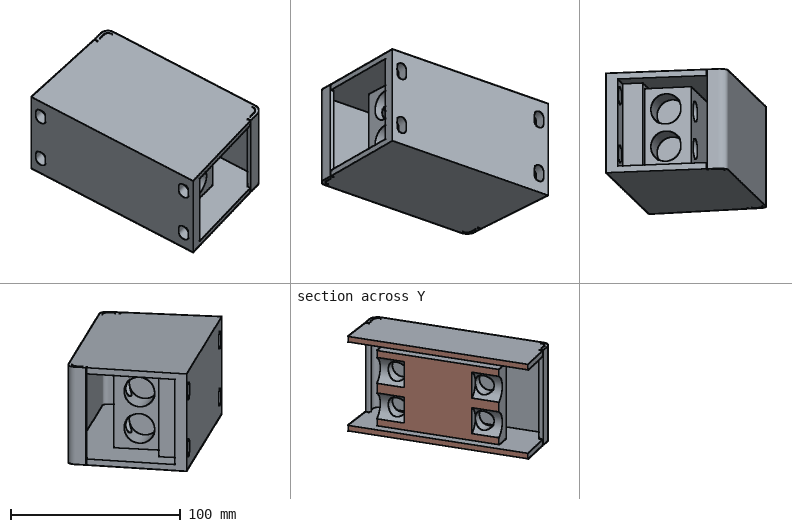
import cadquery as cq
import math

WIDTH = 118.0
DEPTH = 72.0
HEIGHT = 60.0
MID_Z = HEIGHT / 2
SIDE_DRAFT = 2.0
CORNER_RADIUS = 5.1

FRONT_WALL = 7.0
PLATE_THICKNESS = 3.8
CAP_THICKNESS = 2.0
INNER_HEIGHT = HEIGHT - 2 * PLATE_THICKNESS

CAP_END_Y = 60.5
END_GAP = 0.5
SIDE_CLEARANCE = 0.2
PLATE_CORNER_RADIUS = 3.5
BEAD_RADIUS = 1.2

SLOT_WIDTH = 7.0
SLOT_LENGTH = 10.5
SLOT_INSET = 7.0
SLOT_PITCH_Z = 35.0

BASE_INSET = 14.2
BASE_BACK_Y = 19.0
BLOCK_INSET = 20.0
BLOCK_BACK_Y = 47.0
BLOCK_HEIGHT = 47.8

BORE_DIAMETER = 18.2
BORE_Y = 31.7
BORE_PITCH_Z = 22.4
CROSS_HOLE_DIAMETER = 12.0
CROSS_HOLE_DEPTH_X = 11.2
BORE_DEPTH = CROSS_HOLE_DEPTH_X + CROSS_HOLE_DIAMETER / 2

shoulder_y = CAP_END_Y - END_GAP
shoulder_half_x = WIDTH / 2 - shoulder_y * math.tan(math.radians(SIDE_DRAFT))
cap_inner_half_x = shoulder_half_x - CAP_THICKNESS
cap_inner_y = DEPTH - CAP_THICKNESS


def box_between(half_x, y_front, y_back, height):
    """Box symmetric about X = 0 and the middle height."""
    depth = y_back - y_front
    return cq.Workplane("XY").box(2 * half_x, depth, height).translate((0, (y_front + y_back) / 2, MID_Z))


def rounded_back_box(half_x, y_front, y_back, radius):
    """Full-height box with rounded upright edges at the back."""
    return box_between(half_x, y_front, y_back, HEIGHT).edges("|Z and >Y").fillet(radius)


def make_frame():
    """Tapered front wall and plates, stepped in where the cap fits."""
    front_half_x = WIDTH / 2
    outline = [
        (-front_half_x, 0),
        (front_half_x, 0),
        (shoulder_half_x, shoulder_y),
        (-shoulder_half_x, shoulder_y),
    ]
    body = cq.Workplane("XY").polyline(outline).close().extrude(HEIGHT)
    tongue_half_x = cap_inner_half_x - SIDE_CLEARANCE
    tongue = rounded_back_box(tongue_half_x, FRONT_WALL, cap_inner_y, PLATE_CORNER_RADIUS)
    cavity = box_between(WIDTH / 2, FRONT_WALL, DEPTH, INNER_HEIGHT)
    return body.union(tongue).cut(cavity)


def make_cap():
    """U-shaped back cap with a bead along the inside of each free end."""
    outer = rounded_back_box(shoulder_half_x, CAP_END_Y, DEPTH, CORNER_RADIUS)
    inner = rounded_back_box(cap_inner_half_x, 0, cap_inner_y, CORNER_RADIUS - CAP_THICKNESS)
    bead_y = CAP_END_Y + BEAD_RADIUS
    beads = (
        cq.Workplane("XY")
        .pushPoints([(-cap_inner_half_x, bead_y), (cap_inner_half_x, bead_y)])
        .circle(BEAD_RADIUS)
        .extrude(HEIGHT)
    )
    return outer.cut(inner).union(beads)


def make_block():
    """Base and block with blind bores and cross holes, mirrored end to end."""
    base = box_between(WIDTH / 2 - BASE_INSET, FRONT_WALL, BASE_BACK_Y, INNER_HEIGHT)
    block_end = WIDTH / 2 - BLOCK_INSET
    block = base.union(box_between(block_end, FRONT_WALL, BLOCK_BACK_Y, BLOCK_HEIGHT))
    for side in (-1, 1):
        for level in (-1, 1):
            z = MID_Z + level * BORE_PITCH_Z / 2
            bore = cq.Solid.makeCylinder(
                BORE_DIAMETER / 2, BORE_DEPTH,
                cq.Vector(side * block_end, BORE_Y, z), cq.Vector(-side, 0, 0),
            )
            cross_hole = cq.Solid.makeCylinder(
                CROSS_HOLE_DIAMETER / 2, BLOCK_BACK_Y - BORE_Y,
                cq.Vector(side * (block_end - CROSS_HOLE_DEPTH_X), BORE_Y, z), cq.Vector(0, 1, 0),
            )
            block = block.cut(bore).cut(cross_hole)
    return block


def make_mounting_slots():
    """Four upright slots through the front wall."""
    slot_x_pitch = WIDTH - 2 * SLOT_INSET
    return (
        cq.Workplane("XZ", origin=(0, 0, MID_Z))
        .rarray(slot_x_pitch, SLOT_PITCH_Z, 2, 2)
        .slot2D(SLOT_LENGTH, SLOT_WIDTH, 90)
        .extrude(-FRONT_WALL)
    )


result = make_frame().union(make_cap()).union(make_block()).cut(make_mounting_slots())